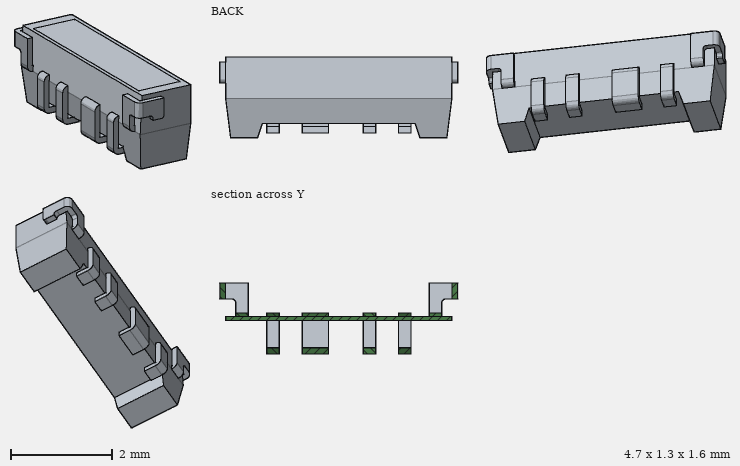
import cadquery as cq

OVERALL_LENGTH = 4.7
OVERALL_DEPTH = 1.3
OVERALL_HEIGHT = 1.6
SHEET = 0.118
BEND_RADIUS = 0.125

HOUSING_LENGTH = OVERALL_LENGTH - 2 * SHEET
PARTING_Z = 0.78
PARTING_DEPTH = 1.175
TOP_DEPTH = 1.135
BASE_LENGTH = 4.268
BASE_BACK_INSET = 0.04
BASE_DEPTH = 1.058
NOTCH_HEIGHT = 0.28
NOTCH_BASE_LENGTH = 3.195
NOTCH_TOP_LENGTH = 3.01

PANEL_LENGTH = 3.95
PANEL_BACK_INSET = 0.095
PANEL_DEPTH = 0.955
PANEL_THICKNESS = 0.045

LEAD_WIDTH = 0.255
WIDE_LEAD_WIDTH = 0.525
LEADS = [(-1.3, LEAD_WIDTH), (-0.605, LEAD_WIDTH), (0.46, WIDE_LEAD_WIDTH), (1.295, LEAD_WIDTH)]
LEAD_FRONT_Y = -PARTING_DEPTH - SHEET
LEAD_BOTTOM_Z = 0.095
LEAD_TOP_Z = PARTING_Z + BEND_RADIUS
FOOT_LENGTH = 0.375
FOOT_THICKNESS = 0.125

BRACKET_TOP_Z = 1.5
BRACKET_LOWER_Z = 1.175
TAB_OUTER_X = 2.035
TAB_INNER_X = 1.78
SIDE_END_Y = -0.695
SIDE_STEP_Y = -0.95
SIDE_TAB_Z = 1.075
BRACKET_FILLET = 0.06

FRONT_Y = -OVERALL_DEPTH
SHEET_BACK_Y = FRONT_Y + SHEET


def make_panel():
    center_y = -PANEL_BACK_INSET - PANEL_DEPTH / 2
    return (
        cq.Workplane("XY", origin=(0, center_y, OVERALL_HEIGHT - PANEL_THICKNESS))
        .rect(PANEL_LENGTH, PANEL_DEPTH)
        .extrude(PANEL_THICKNESS)
    )


def make_housing(panel):
    upper = (
        cq.Workplane("YZ")
        .polyline([
            (0, PARTING_Z),
            (0, OVERALL_HEIGHT),
            (-TOP_DEPTH, OVERALL_HEIGHT),
            (-PARTING_DEPTH, PARTING_Z),
        ])
        .close()
        .extrude(HOUSING_LENGTH / 2, both=True)
    )
    base_center_y = -BASE_BACK_INSET - BASE_DEPTH / 2
    parting_shift = -PARTING_DEPTH / 2 - base_center_y
    lower = (
        cq.Workplane("XY", origin=(0, base_center_y, 0))
        .rect(BASE_LENGTH, BASE_DEPTH)
        .workplane(offset=PARTING_Z)
        .center(0, parting_shift)
        .rect(HOUSING_LENGTH, PARTING_DEPTH)
        .loft(ruled=True)
    )
    notch = (
        cq.Workplane("XZ")
        .polyline([
            (-NOTCH_BASE_LENGTH / 2, 0),
            (-NOTCH_TOP_LENGTH / 2, NOTCH_HEIGHT),
            (NOTCH_TOP_LENGTH / 2, NOTCH_HEIGHT),
            (NOTCH_BASE_LENGTH / 2, 0),
        ])
        .close()
        .extrude(OVERALL_DEPTH)
    )
    return upper.union(lower).cut(notch).cut(panel)


def make_lead(center_x, width, housing):
    """C-shaped strip: its rounded upper end meets the front face, its foot turns in below the notch."""
    foot_top_z = LEAD_BOTTOM_Z + FOOT_THICKNESS
    foot_end_y = LEAD_FRONT_Y + FOOT_LENGTH
    strip = (
        cq.Workplane("YZ", origin=(center_x, 0, 0))
        .moveTo(foot_end_y, LEAD_BOTTOM_Z)
        .lineTo(LEAD_FRONT_Y + BEND_RADIUS, LEAD_BOTTOM_Z)
        .tangentArcPoint((-BEND_RADIUS, BEND_RADIUS))
        .lineTo(LEAD_FRONT_Y, PARTING_Z)
        .tangentArcPoint((BEND_RADIUS, BEND_RADIUS))
        .lineTo(-TOP_DEPTH, LEAD_TOP_Z)
        .lineTo(-TOP_DEPTH, PARTING_Z)
        .lineTo(-PARTING_DEPTH, PARTING_Z)
        .lineTo(-PARTING_DEPTH, foot_top_z)
        .lineTo(foot_end_y, foot_top_z)
        .close()
        .extrude(width / 2, both=True)
    )
    return strip.cut(housing)


def make_left_bracket(housing):
    """Sheet wrapped round the front left corner, with a tab bent in at the parting level."""
    left_x = -OVERALL_LENGTH / 2
    front_inner_corner = (-TAB_OUTER_X, SHEET_BACK_Y - SHEET / 2, BRACKET_LOWER_Z)
    side_inner_corner = (left_x + SHEET / 2, SIDE_STEP_Y, BRACKET_LOWER_Z)
    side_outer_corner = (left_x + SHEET / 2, SIDE_END_Y, SIDE_TAB_Z)
    front = (
        cq.Workplane("XZ", origin=(0, SHEET_BACK_Y, 0))
        .polyline([
            (left_x, BRACKET_TOP_Z),
            (-TAB_INNER_X, BRACKET_TOP_Z),
            (-TAB_INNER_X, PARTING_Z),
            (-TAB_OUTER_X, PARTING_Z),
            (-TAB_OUTER_X, BRACKET_LOWER_Z),
            (left_x, BRACKET_LOWER_Z),
        ])
        .close()
        .extrude(SHEET)
        .edges(cq.NearestToPointSelector(front_inner_corner))
        .fillet(BRACKET_FILLET)
    )
    side = (
        cq.Workplane("YZ", origin=(left_x, 0, 0))
        .polyline([
            (FRONT_Y, BRACKET_TOP_Z),
            (SIDE_END_Y, BRACKET_TOP_Z),
            (SIDE_END_Y, SIDE_TAB_Z),
            (SIDE_STEP_Y, SIDE_TAB_Z),
            (SIDE_STEP_Y, BRACKET_LOWER_Z),
            (FRONT_Y, BRACKET_LOWER_Z),
        ])
        .close()
        .extrude(SHEET)
        .edges(cq.NearestToPointSelector(side_inner_corner))
        .fillet(BRACKET_FILLET)
        .edges(cq.NearestToPointSelector(side_outer_corner))
        .fillet(BRACKET_FILLET)
    )
    tab_end = cq.Workplane("XY").box(
        TAB_OUTER_X - TAB_INNER_X, -TOP_DEPTH - SHEET_BACK_Y, BEND_RADIUS, centered=False
    ).translate((-TAB_OUTER_X, SHEET_BACK_Y, PARTING_Z))
    bracket = front.union(side).union(tab_end)
    bracket = bracket.faces("<Y").edges("<X").fillet(SHEET)
    bracket = bracket.faces("<Y").edges("<Z").fillet(BEND_RADIUS)
    return bracket.cut(housing)


panel = make_panel()
housing = make_housing(panel)
leads = [make_lead(center_x, width, housing) for center_x, width in LEADS]
left_bracket = make_left_bracket(housing)
brackets = [left_bracket, left_bracket.mirror("YZ")]

result = cq.Compound.makeCompound([
    housing.solids().val(),
    panel.val(),
    *[lead.solids().val() for lead in leads],
    *[bracket.solids().val() for bracket in brackets],
])